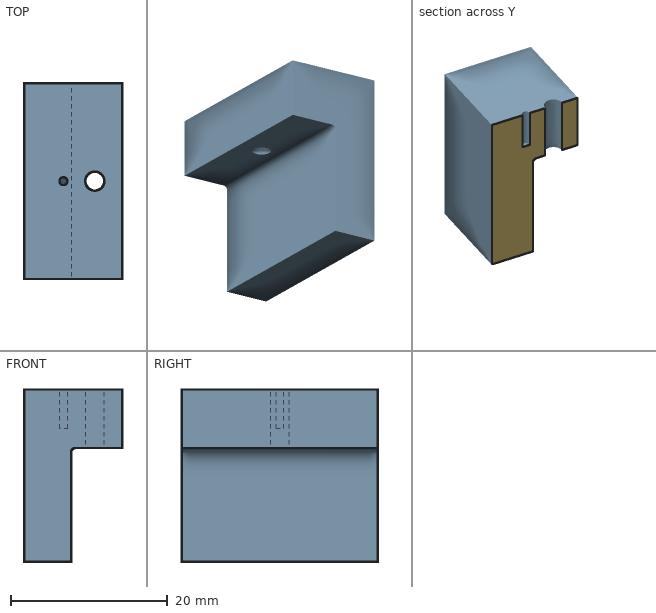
import cadquery as cq

width = 12.5
length = 25.0
height = 22.0

leg_thickness = 6.0
flange_thickness = 7.5
inner_fillet_radius = 0.5

through_hole_diameter = 2.4
through_hole_x = 9.0
pin_hole_diameter = 1.0
pin_hole_x = 5.0
pin_hole_depth = 5.0

flange_underside = height - flange_thickness


def make_bracket():
    """Upright leg with a flange overhanging along +X at the top."""
    profile = (
        cq.Workplane("XZ", origin=(0, length, 0))
        .moveTo(0, 0)
        .lineTo(leg_thickness, 0)
        .lineTo(leg_thickness, flange_underside)
        .lineTo(width, flange_underside)
        .lineTo(width, height)
        .lineTo(0, height)
        .close()
    )
    inner_corner = cq.selectors.NearestToPointSelector((leg_thickness, length / 2, flange_underside))
    return profile.extrude(length).edges(inner_corner).fillet(inner_fillet_radius)


def top_hole(x, diameter, depth):
    """Cylinder reaching down from the top face at mid-length."""
    return cq.Workplane("XY", origin=(x, length / 2, height)).circle(diameter / 2).extrude(-depth)


result = (
    make_bracket()
    .cut(top_hole(through_hole_x, through_hole_diameter, flange_thickness))
    .cut(top_hole(pin_hole_x, pin_hole_diameter, pin_hole_depth))
)